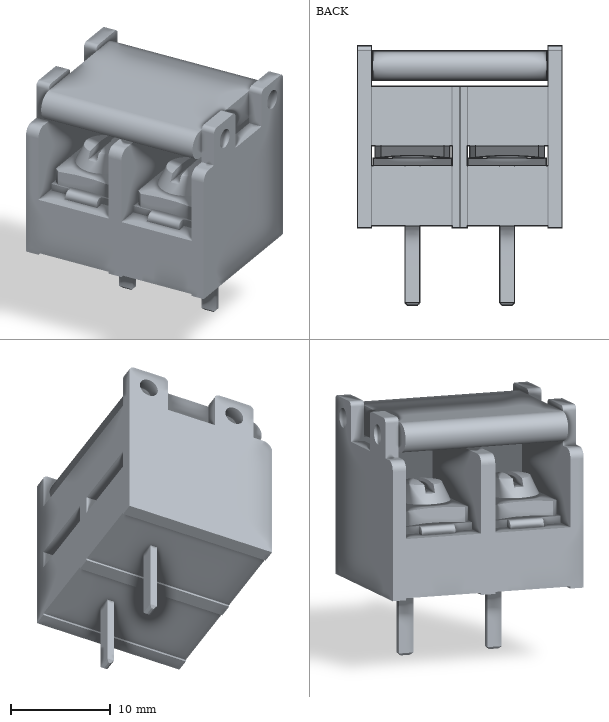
import cadquery as cq
import math


pole_pitch = 9.5
sides = (-1, 1)
outer_wall = 1.43
barrier = 1.5
width = 20.5
depth = 16.0
pole_centres = [side * pole_pitch / 2 for side in sides]
front_y = -depth / 2
rear_y = depth / 2

wall_height = 14.2
wall_top_radius = 1.0
ledge_height = 6.25
foot_gap = 0.2
rear_wall_thickness = 2.5
rear_window_height = 1.98

post_height = 4.05
post_width = 4.32
post_spacing = 9.6
post_radius = 0.5
post_hole_diameter = 2.0
rear_post_y = rear_y - post_width / 2
front_post_y = rear_post_y - post_spacing
post_hole_z = 16.25

cover_width = 17.45
cover_thickness = 3.02
cover_reach = 11.93
hinge_pin_diameter = 1.0
hinge_pin_length = 0.52

sheet = 0.75
plate_width = 7.88
plate_front_y = -5.62
plate_top = ledge_height + sheet
tab_width = 3.6
tab_reach = 0.88
tab_bend_radius = 0.55
tab_depth = 1.0
tab_clearance = 0.1
pin_width = 1.5
pin_y = 2.89
pin_tip_z = -7.75
pin_chamfer = 0.25

washer_size = 7.5
washer_corner = 0.6
washer_thickness = 1.5
washer_rise = 0.25
washer_hole_diameter = 4.2
screw_y = plate_front_y + washer_size / 2

shank_diameter = 4.0
head_diameter = 5.72
head_top_diameter = 4.0
head_base_z = 8.95
head_side_height = 1.82
head_crown = 0.18
slot_width = 1.0
slot_depth = 1.0


def box(x0, x1, y0, y1, z0, z1):
    """Block between two opposite corners."""
    return cq.Workplane("XY").box(x1 - x0, y1 - y0, z1 - z0, centered=False).translate((x0, y0, z0))


def upright_wall(x0, x1):
    """Wall of full depth with a rounded front top edge."""
    panel = box(x0, x1, front_y, rear_y, 0, wall_height)
    return panel.edges("|X and >Z and <Y").fillet(wall_top_radius)


def post(x0, x1, y):
    """Post on top of an outer wall, with rounded top edges."""
    half = post_width / 2
    block = box(x0, x1, y - half, y + half, wall_height - wall_top_radius, wall_height + post_height)
    return block.edges("|X and >Z").fillet(post_radius)


def tab_socket(centre):
    """Space in the ledge for the terminal tab, with clearance in front and at both ends."""
    half = tab_width / 2 + tab_clearance
    tab_front = plate_front_y - tab_reach
    return box(centre - half, centre + half, tab_front - tab_clearance, tab_front + sheet,
               ledge_height - tab_depth, ledge_height)


def pin_block(centre):
    """Full-length terminal pin, up to the underside of the plate."""
    half = pin_width / 2
    return box(centre - half, centre + half, pin_y - sheet / 2, pin_y + sheet / 2, pin_tip_z, ledge_height)


def make_housing(side):
    """One module; side is -1 for the left one and +1 for the right one."""
    centre = side * pole_pitch / 2
    outer_face = side * width / 2
    bay_outer = outer_face - side * outer_wall
    bay_inner = side * barrier / 2
    bay = sorted((bay_inner, bay_outer))
    outer_span = sorted((bay_outer, outer_face))
    barrier_span = sorted((0, bay_inner))

    outer_side = upright_wall(*outer_span)
    for post_y in (rear_post_y, front_post_y):
        outer_side = outer_side.union(post(*outer_span, post_y))
        hole = cq.Workplane("YZ").center(post_y, post_hole_z).circle(post_hole_diameter / 2)
        outer_side = outer_side.cut(hole.extrude(side * width))

    base = box(*bay, front_y, rear_y, foot_gap, ledge_height)
    base = base.cut(tab_socket(centre)).cut(pin_block(centre))
    rear_wall = box(*bay, rear_y - rear_wall_thickness, rear_y,
                    ledge_height + rear_window_height, wall_height)

    housing = base.union(outer_side, clean=False).union(upright_wall(*barrier_span), clean=False)
    return housing.union(rear_wall, clean=False)


def make_cover():
    """Flat cover with full-round front and rear edges and a hinge pin at each rear corner."""
    slab = (
        cq.Workplane("YZ")
        .center(rear_post_y - cover_reach / 2, post_hole_z)
        .slot2D(cover_reach + cover_thickness, cover_thickness)
        .extrude(cover_width / 2, both=True)
    )
    hinge = cq.Workplane("YZ").center(rear_post_y, post_hole_z).circle(hinge_pin_diameter / 2)
    return slab.union(hinge.extrude(cover_width / 2 + hinge_pin_length, both=True))


def make_terminal(centre):
    """Clamp plate with a tab turned down at the front and a solder pin at the rear."""
    plate_rear_y = pin_y + sheet / 2
    half = plate_width / 2
    plate = box(centre - half, centre + half, plate_front_y, plate_rear_y, ledge_height, plate_top)

    half = tab_width / 2
    tab_front = plate_front_y - tab_reach
    bend = box(centre - half, centre + half, tab_front, plate_front_y, ledge_height, plate_top)
    bend = bend.edges("|X and >Z and <Y").fillet(tab_bend_radius)
    tab = box(centre - half, centre + half, tab_front, tab_front + sheet,
              ledge_height - tab_depth, ledge_height)

    pin = pin_block(centre).faces("<Z").chamfer(pin_chamfer)
    shank = cq.Workplane("XY").center(centre, screw_y).circle(shank_diameter / 2).extrude(plate_top)
    return plate.union(bend).union(tab).union(pin).cut(shank)


def make_washer(centre):
    """Square clamp washer, arched across X, with bevelled corners and a screw hole."""
    half = washer_size / 2
    z0 = plate_top
    z1 = plate_top + washer_thickness
    arch = (
        cq.Workplane("XZ")
        .moveTo(-half, z0)
        .threePointArc((0, z0 + washer_rise), (half, z0))
        .lineTo(half, z1)
        .threePointArc((0, z1 + washer_rise), (-half, z1))
        .close()
        .extrude(half, both=True)
    )
    arch = arch.edges("|Z").chamfer(washer_corner)
    hole = cq.Workplane("XY").circle(washer_hole_diameter / 2).extrude(2 * z1)
    return arch.cut(hole).translate((centre, screw_y, 0))


def make_screw(centre):
    """Slotted screw with a tapered, slightly crowned head."""
    shoulder_z = head_base_z + head_side_height
    crown_z = shoulder_z + head_crown
    top_radius = head_top_diameter / 2
    crown_radius = (top_radius ** 2 + head_crown ** 2) / (2 * head_crown)
    mid_x = top_radius / 2
    mid_z = crown_z - crown_radius + math.sqrt(crown_radius ** 2 - mid_x ** 2)
    profile = (
        cq.Workplane("XZ")
        .moveTo(0, ledge_height)
        .lineTo(shank_diameter / 2, ledge_height)
        .lineTo(shank_diameter / 2, head_base_z)
        .lineTo(head_diameter / 2, head_base_z)
        .lineTo(top_radius, shoulder_z)
        .threePointArc((mid_x, mid_z), (0, crown_z))
        .close()
    )
    screw = profile.revolve(360, (0, 0, 0), (0, 1, 0))
    half = slot_width / 2
    slot = box(-half, half, -head_diameter, head_diameter, crown_z - slot_depth, crown_z + slot_depth)
    return screw.cut(slot).translate((centre, screw_y, 0))


housings = [make_housing(side) for side in sides]
cover = make_cover()
terminals = [make_terminal(centre) for centre in pole_centres]
washers = [make_washer(centre) for centre in pole_centres]
screws = [make_screw(centre) for centre in pole_centres]

bodies = [*housings, cover, *terminals, *washers, *screws]
result = cq.Compound.makeCompound([body.solids().val() for body in bodies])